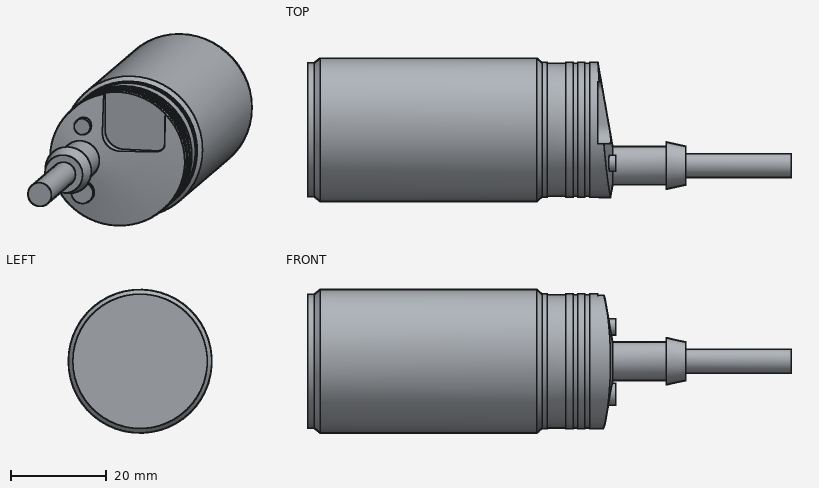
import cadquery as cq
import math

total_length = 101.0
body_diameter = 30.0
body_radius = body_diameter / 2
front_lip_radius = 14.0
land_radius = 14.1
groove_radius = 13.9

front_lip_end = 1.4
front_chamfer_end = 2.6
barrel_end = 47.9
shoulder_end = 49.0
first_land_end = 50.0
rear_lands = [(53.9, 55.4), (56.4, 57.9)]
cap_start = 58.9
cap_low_edge = 60.6

cable_y = -7.5
sleeve_radius = 4.0
sleeve_end = 74.8
collar_radius = 4.9
collar_end = 79.0
cable_radius = 2.5

cone_angle = 10.0
cone_base_radius = land_radius - cable_y
cone_apex = cap_low_edge + cone_base_radius * math.tan(math.radians(cone_angle))

notch_y_min = -2.9
notch_y_max = 10.0
notch_floor_z = 2.0
notch_large_fillet = 3.9
notch_small_fillet = 1.7

studs = [(-7.0, 7.2, 1.7), (-7.0, -6.9, 2.3)]
stud_end = 64.3


def rod(x_start, x_end, radius, y=0.0, z=0.0):
    """Solid cylinder parallel to X."""
    return cq.Workplane("YZ", origin=(x_start, y, z)).circle(radius).extrude(x_end - x_start)


def make_housing():
    """Turned housing with chamfered barrel and raised lands at the rear."""
    points = [
        (0, 0),
        (0, front_lip_radius),
        (front_lip_end, front_lip_radius),
        (front_chamfer_end, body_radius),
        (barrel_end, body_radius),
        (shoulder_end, groove_radius),
        (shoulder_end, land_radius),
        (first_land_end, land_radius),
        (first_land_end, groove_radius),
    ]
    for land_start, land_end in rear_lands:
        points += [
            (land_start, groove_radius),
            (land_start, land_radius),
            (land_end, land_radius),
            (land_end, groove_radius),
        ]
    points += [
        (cap_start, groove_radius),
        (cap_start, land_radius),
        (cone_apex, land_radius),
        (cone_apex, 0),
    ]
    return cq.Workplane("XY").polyline(points).close().revolve(360, (0, 0, 0), (1, 0, 0))


def make_cone_envelope():
    """Space kept by the conical end face."""
    outline = [
        (0, cable_y),
        (0, cable_y + 2 * body_radius),
        (cap_low_edge, cable_y + 2 * body_radius),
        (cap_low_edge, cable_y + cone_base_radius),
        (cone_apex, cable_y),
    ]
    return cq.Workplane("XY").polyline(outline).close().revolve(360, (0, cable_y, 0), (1, cable_y, 0))


def make_notch():
    """Flat-bottomed notch with two different corner fillets."""
    block = cq.Workplane("XY").box(
        cone_apex - cap_low_edge,
        notch_y_max - notch_y_min,
        body_radius - notch_floor_z,
        centered=False,
    ).translate((cap_low_edge, notch_y_min, notch_floor_z))
    block = block.edges("|X and <Y").edges("<Z").fillet(notch_large_fillet)
    return block.edges("|X and >Y").edges("<Z").fillet(notch_small_fillet)


def make_cable():
    """Cable with its sleeve and tapered collar."""
    outline = [
        (cap_start, 0),
        (cap_start, sleeve_radius),
        (sleeve_end, sleeve_radius),
        (sleeve_end, collar_radius),
        (collar_end, sleeve_radius),
        (collar_end, cable_radius),
        (total_length, cable_radius),
        (total_length, 0),
    ]
    cable = cq.Workplane("XY").polyline(outline).close().revolve(360, (0, 0, 0), (1, 0, 0))
    return cable.translate((0, cable_y, 0))


result = make_housing().intersect(make_cone_envelope()).cut(make_notch()).union(make_cable())
for stud_y, stud_z, stud_radius in studs:
    result = result.union(rod(cap_start, stud_end, stud_radius, stud_y, stud_z))